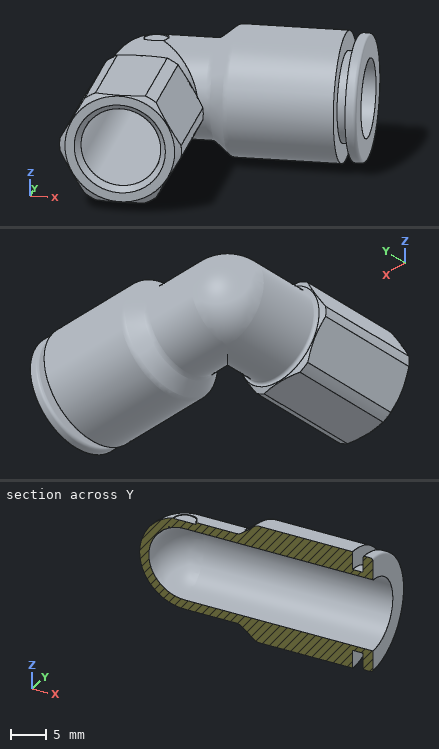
import cadquery as cq
import math


overall_length = 39.32
overall_width = 37.55
sleeve_diameter = 19.0
sleeve_radius = sleeve_diameter / 2

neck_radius = 7.3
neck_fillet = 0.47
bore_radius = 5.75

hex_flats = 16.05
hex_across_corners = 17.58
hex_corner_radius = hex_across_corners / 2
hex_start = 10.42
leg_end = overall_width - sleeve_radius
chamfer_circle_radius = 7.9
hex_chamfer_length = 0.47
mouth_radius = 6.55
mouth_chamfer = mouth_radius - bore_radius

cone_start = 8.85
cone_end = 11.55
cone_fillet = 1.15
sleeve_end = 27.25

collet_radius = 6.6
flange_radius = 9.28
flange_start = 28.82
flange_end = overall_length - hex_corner_radius
flange_fillet = 0.47

recess_radius = 1.75
recess_depth = 0.3


def rod_x(radius, start, end):
    """Cylinder on the X axis."""
    return cq.Workplane("YZ").workplane(offset=start).circle(radius).extrude(end - start)


def rod_y(radius, start, end):
    """Cylinder on the -Y axis; start and end are distances from the elbow centre."""
    return cq.Workplane("XZ").workplane(offset=start).circle(radius).extrude(end - start)


def make_hex_leg():
    """Hexagon with rounded corners and a conical chamfer at both ends."""
    hex_length = leg_end - hex_start
    sharp_across_corners = hex_flats / math.cos(math.pi / 6)
    prism = (
        cq.Workplane("XZ")
        .workplane(offset=hex_start)
        .polygon(6, sharp_across_corners)
        .extrude(hex_length)
    )
    envelope = (
        rod_y(hex_corner_radius, hex_start, leg_end)
        .faces("<Y or >Y")
        .chamfer(hex_chamfer_length, hex_corner_radius - chamfer_circle_radius)
    )
    return prism.intersect(envelope)


def make_neck_flare():
    """Concave fillet between the neck and the back face of the hexagon."""
    flare_start = -hex_start + neck_fillet
    flare_radius = neck_radius + neck_fillet
    arc_offset = neck_fillet * (1 - math.sqrt(0.5))
    return (
        cq.Workplane("XY")
        .moveTo(0, flare_start)
        .lineTo(neck_radius, flare_start)
        .threePointArc(
            (neck_radius + arc_offset, -hex_start + arc_offset),
            (flare_radius, -hex_start),
        )
        .lineTo(0, -hex_start)
        .close()
        .revolve(360, (0, 0), (0, 1))
    )


def make_sleeve():
    """Sleeve that widens from the neck through a cone with rounded edges."""
    profile = (
        cq.Workplane("XY")
        .lineTo(0, neck_radius)
        .lineTo(cone_start, neck_radius)
        .lineTo(cone_end, sleeve_radius)
        .lineTo(sleeve_end, sleeve_radius)
        .lineTo(sleeve_end, 0)
        .close()
    )
    sleeve = profile.revolve(360, (0, 0), (1, 0))
    return sleeve.faces("%CONE").edges("%CIRCLE").fillet(cone_fillet)


def make_collet():
    """Collet stem with a round-edged flange at its outer end."""
    flange = rod_x(flange_radius, flange_start, flange_end).edges("%CIRCLE").fillet(flange_fillet)
    return rod_x(collet_radius, sleeve_end, flange_end).union(flange)


def make_passage():
    """Bore through both legs, rounded at the bend and chamfered at the hexagon mouth."""
    mouth = (
        cq.Workplane("XZ")
        .workplane(offset=leg_end)
        .circle(mouth_radius)
        .workplane(offset=-mouth_chamfer)
        .circle(bore_radius)
        .loft(ruled=True)
    )
    return (
        rod_y(bore_radius, 0, leg_end)
        .union(rod_x(bore_radius, 0, flange_end))
        .union(cq.Workplane("XY").sphere(bore_radius))
        .union(mouth)
    )


def make_recess():
    """Shallow round pocket in the crown of the elbow."""
    return (
        cq.Workplane("XY")
        .workplane(offset=neck_radius - recess_depth)
        .circle(recess_radius)
        .extrude(2 * recess_depth)
    )


elbow = cq.Workplane("XY").sphere(neck_radius).union(rod_y(neck_radius, 0, hex_start))
body = elbow.union(make_sleeve()).union(make_neck_flare()).union(make_hex_leg()).union(make_collet())
result = body.cut(make_passage()).cut(make_recess())